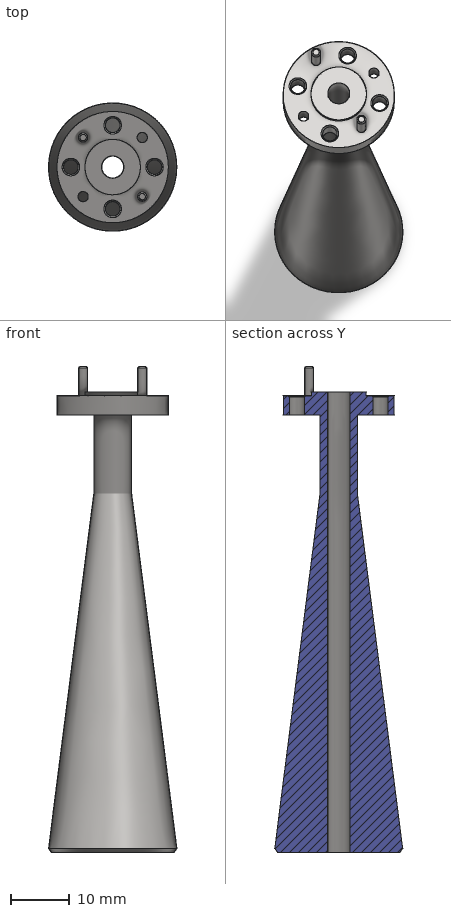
import cadquery as cq
import math

total_height = 83.0
rim_height = 0.75
cone_top = 61.3
flange_bottom = 74.7
flange_top = 78.0
boss_top = 78.7

horn_diameter = 21.9
rim_diameter = 20.9
neck_diameter = 6.5
flange_diameter = 19.0
boss_diameter = 9.5
bore_diameter = 3.7

pattern_radius = 7.1
screw_hole_diameter = 2.5
screw_hole_chamfer = 0.25
pin_hole_diameter = 1.75
pin_diameter = 1.6
pin_chamfer = 0.25
screw_hole_angles = (0, 90, 180, 270)
pin_hole_angles = (45, 225)
pin_angles = (135, 315)


def pattern_points(angles):
    """Points on the flange pattern circle at the given angles in degrees."""
    return [
        (pattern_radius * math.cos(math.radians(a)), pattern_radius * math.sin(math.radians(a)))
        for a in angles
    ]


def make_body():
    """Horn, neck, flange and boss, turned about Z."""
    return (
        cq.Workplane("XZ")
        .moveTo(0, 0)
        .lineTo(rim_diameter / 2, 0)
        .lineTo(horn_diameter / 2, rim_height)
        .lineTo(neck_diameter / 2, cone_top)
        .lineTo(neck_diameter / 2, flange_bottom)
        .lineTo(flange_diameter / 2, flange_bottom)
        .lineTo(flange_diameter / 2, flange_top)
        .lineTo(boss_diameter / 2, flange_top)
        .lineTo(boss_diameter / 2, boss_top)
        .lineTo(0, boss_top)
        .close()
        .revolve(360, (0, 0, 0), (0, 1, 0))
    )


def make_flange_holes(angles, diameter):
    """Cutters that pass through the full thickness of the flange."""
    return (
        cq.Workplane("XY", origin=(0, 0, flange_bottom))
        .pushPoints(pattern_points(angles))
        .circle(diameter / 2)
        .extrude(flange_top - flange_bottom)
    )


def make_pins():
    """Alignment pins set through the flange, chamfered at their free ends."""
    return (
        cq.Workplane("XY", origin=(0, 0, flange_bottom))
        .pushPoints(pattern_points(pin_angles))
        .circle(pin_diameter / 2)
        .extrude(total_height - flange_bottom)
        .faces(">Z")
        .chamfer(pin_chamfer)
    )


def make_screw_hole_chamfers():
    """Conical cutters that break the upper rims of the screw holes."""
    return (
        cq.Workplane("XY", origin=(0, 0, flange_top))
        .pushPoints(pattern_points(screw_hole_angles))
        .circle(screw_hole_diameter / 2 + screw_hole_chamfer)
        .extrude(-screw_hole_chamfer, taper=45)
    )


bore = cq.Workplane("XY").circle(bore_diameter / 2).extrude(boss_top)

result = (
    make_body()
    .cut(bore)
    .cut(make_flange_holes(screw_hole_angles, screw_hole_diameter))
    .cut(make_screw_hole_chamfers())
    .cut(make_flange_holes(pin_hole_angles, pin_hole_diameter))
    .union(make_pins())
)